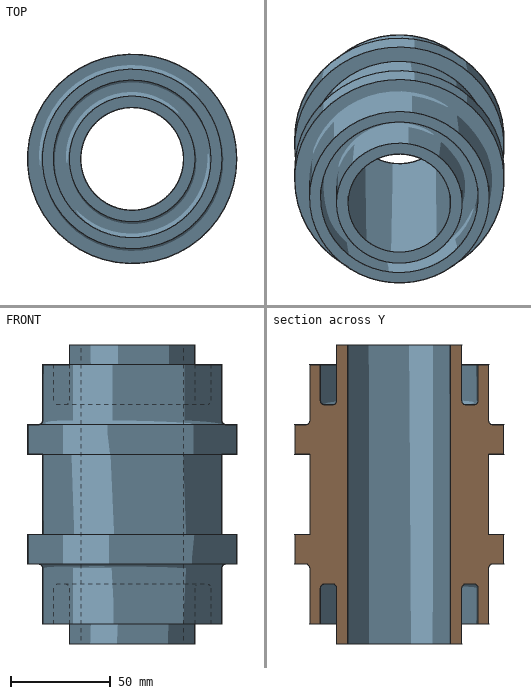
import cadquery as cq

pipe_length = 150.0
pipe_outer_diameter = 63.0
pipe_wall = 5.8
sleeve_outer_diameter = 90.0
sleeve_wall = 5.5
sleeve_setback = 10.0
pocket_depth = 20.0
flange_diameter = 105.0
flange_thickness = 15.0
flange_gap = 40.0
root_fillet = 2.0

pipe_outer_radius = pipe_outer_diameter / 2
pipe_bore_radius = pipe_outer_radius - pipe_wall
sleeve_outer_radius = sleeve_outer_diameter / 2
sleeve_inner_radius = sleeve_outer_radius - sleeve_wall
sleeve_length = pipe_length - 2 * sleeve_setback
flange_inner_face = flange_gap / 2
flange_outer_face = flange_inner_face + flange_thickness
pocket_floor = sleeve_length / 2 - pocket_depth


def centred_cylinder(radius, length):
    """Cylinder on the Z axis, centred on Z = 0."""
    return cq.Workplane("XY").circle(radius).extrude(length / 2, both=True)


def flange(side):
    """Collar above (side = 1) or below (side = -1) the mid-plane."""
    return (
        cq.Workplane("XY")
        .workplane(offset=side * flange_inner_face)
        .circle(flange_diameter / 2)
        .extrude(side * flange_thickness)
    )


def annular_pocket(side):
    """Ring-shaped cutter between pipe and sleeve, rounded along its floor edges."""
    return (
        cq.Workplane("XY")
        .workplane(offset=side * pocket_floor)
        .circle(sleeve_inner_radius)
        .circle(pipe_outer_radius)
        .extrude(side * pocket_depth)
        .faces("<Z" if side > 0 else ">Z")
        .edges()
        .fillet(root_fillet)
    )


def flange_root_fillet(side):
    """Ring that fills the corner between a flange's outer face and the sleeve."""
    root_z = side * flange_outer_face
    tip_z = side * (flange_outer_face + root_fillet)
    tip_radius = sleeve_outer_radius + root_fillet
    arc_offset = root_fillet * (1 - 0.5 ** 0.5)
    return (
        cq.Workplane("XZ")
        .moveTo(sleeve_inner_radius, root_z)
        .lineTo(tip_radius, root_z)
        .threePointArc(
            (sleeve_outer_radius + arc_offset, root_z + side * arc_offset),
            (sleeve_outer_radius, tip_z),
        )
        .lineTo(sleeve_inner_radius, tip_z)
        .close()
        .revolve(360, (0, 0), (0, 1))
    )


result = centred_cylinder(sleeve_outer_radius, sleeve_length)
for end in (1, -1):
    result = result.union(flange(end)).union(flange_root_fillet(end))
    result = result.cut(annular_pocket(end))
result = result.union(centred_cylinder(pipe_outer_radius, pipe_length))
result = result.cut(centred_cylinder(pipe_bore_radius, pipe_length))